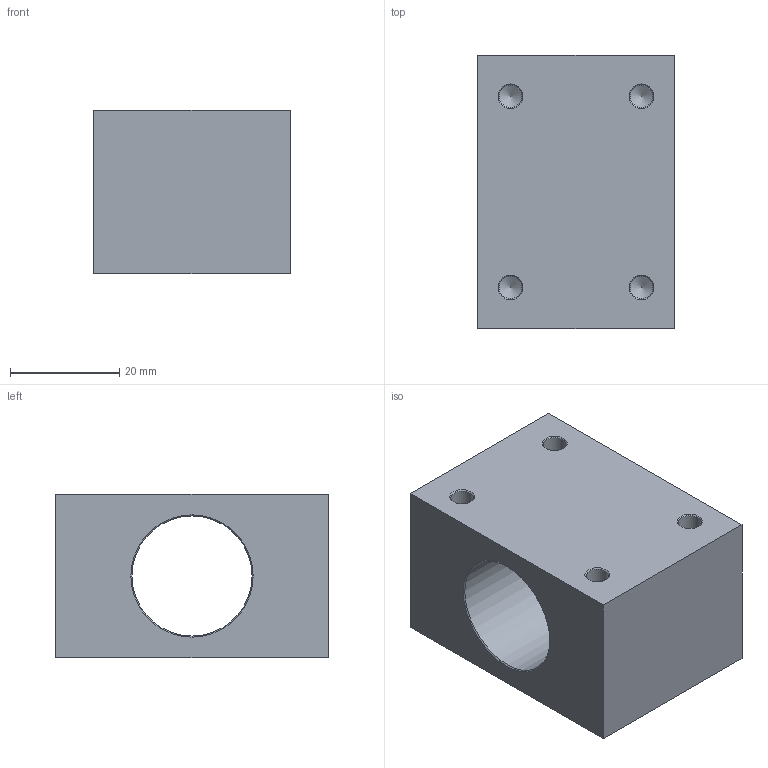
import cadquery as cq
import math

width = 36.0
length = 50.0
height = 30.0

bore_diameter = 22.0
bore_chamfer = 0.2

hole_diameter = 4.13
hole_chamfer = 0.2
hole_spacing_x = 24.0
hole_spacing_y = 35.0
hole_depth = 12.0
drill_point_angle = 118.0


def make_block():
    return cq.Workplane("XY").box(width, length, height)


def make_bore_cutter():
    """Bore along X whose chamfered mouths widen towards the two X faces."""
    bore_radius = bore_diameter / 2
    mouth_radius = bore_radius + bore_chamfer
    half_width = width / 2
    half_straight = half_width - bore_chamfer
    profile = [
        (-half_width, 0),
        (-half_width, mouth_radius),
        (-half_straight, bore_radius),
        (half_straight, bore_radius),
        (half_width, mouth_radius),
        (half_width, 0),
    ]
    return cq.Workplane("XY").polyline(profile).close().revolve(360, (0, 0), (1, 0))


def make_hole_cutter():
    """Chamfered drilled hole on the Z axis, running down from Z = 0 to a conical point."""
    hole_radius = hole_diameter / 2
    point_depth = hole_radius / math.tan(math.radians(drill_point_angle / 2))
    profile = [
        (0, 0),
        (hole_radius + hole_chamfer, 0),
        (hole_radius, -hole_chamfer),
        (hole_radius, -hole_depth),
        (0, -hole_depth - point_depth),
    ]
    return cq.Workplane("XZ").polyline(profile).close().revolve(360, (0, 0), (0, 1))


result = make_block().cut(make_bore_cutter())

hole_cutter = make_hole_cutter()
for side_x in (-1, 1):
    for side_y in (-1, 1):
        hole_centre = (side_x * hole_spacing_x / 2, side_y * hole_spacing_y / 2, height / 2)
        result = result.cut(hole_cutter.translate(hole_centre))